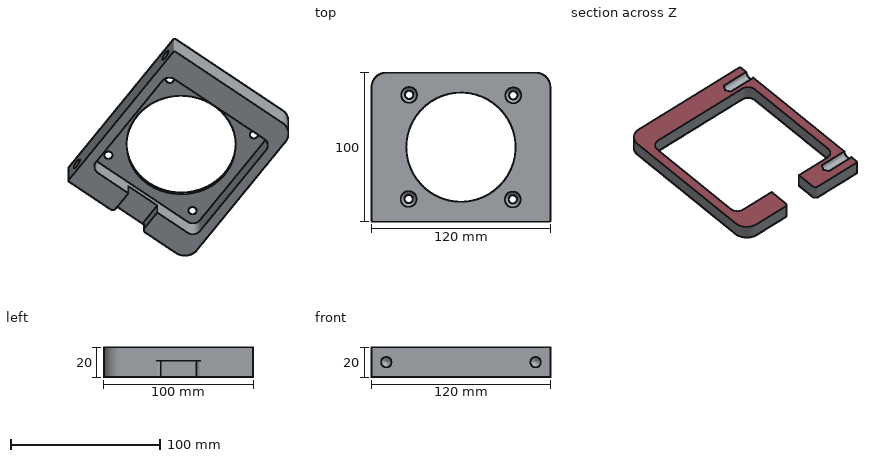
import cadquery as cq

length_x = 120.0
width_y = 100.0
height = 20.0
rear_corner_radius = 10.0
front_edge_radius = 1.0

plate_thickness = 3.0
pocket_side = 86.4
pocket_corner_radius = 6.0

opening_diameter = 73.0
screw_count = 4
screw_circle_diameter = 98.6
first_screw_angle = 44.75
screw_diameter = 5.4
countersink_diameter = 10.6
countersink_angle = 90.0

notch_width = 24.0
notch_height = 11.0
notch_edge_radius = 2.5

front_hole_pitch = 100.0
front_hole_diameter = 7.0
front_hole_depth = 20.0
drill_tip_length = 2.0


def make_body():
    """Block with large rear corners and slightly eased front corners."""
    block = cq.Workplane("XY").box(length_x, width_y, height, centered=(True, True, False))
    block = block.edges("|Z and >Y").fillet(rear_corner_radius)
    return block.edges("|Z and <Y").fillet(front_edge_radius)


def make_pocket():
    """Rounded square cavity, open at the bottom."""
    pocket_depth = height - plate_thickness
    pocket = cq.Workplane("XY").box(pocket_side, pocket_side, pocket_depth, centered=(True, True, False))
    return pocket.edges("|Z").fillet(pocket_corner_radius)


def make_notch():
    """Passage from the -X face into the pocket, with rounded edges at its mouth."""
    outer_x = -length_x / 2
    inner_x = -pocket_side / 2
    half_width = notch_width / 2
    half_mouth = half_width + notch_edge_radius
    shoulder_x = outer_x + notch_edge_radius
    arc_inset = notch_edge_radius * (1 - 0.5 ** 0.5)
    return (
        cq.Workplane("XY")
        .moveTo(outer_x, half_mouth)
        .threePointArc((outer_x + arc_inset, half_width + arc_inset), (shoulder_x, half_width))
        .lineTo(inner_x, half_width)
        .lineTo(inner_x, -half_width)
        .lineTo(shoulder_x, -half_width)
        .threePointArc((outer_x + arc_inset, -half_width - arc_inset), (outer_x, -half_mouth))
        .close()
        .extrude(notch_height)
    )


def cut_plate_holes(body):
    """Central opening and the ring of countersunk screw holes."""
    body = body.faces(">Z").workplane(origin=(0, 0, height)).hole(opening_diameter)
    return (
        body.faces(">Z")
        .workplane(origin=(0, 0, height))
        .polarArray(screw_circle_diameter / 2, first_screw_angle, 360, screw_count)
        .cskHole(screw_diameter, countersink_diameter, countersink_angle)
    )


def make_front_hole(x):
    """Drilled blind hole along Y with a conical end, as a revolved profile."""
    radius = front_hole_diameter / 2
    return (
        cq.Workplane("XY")
        .polyline([
            (0, 0),
            (radius, 0),
            (radius, front_hole_depth),
            (0, front_hole_depth + drill_tip_length),
        ])
        .close()
        .revolve(360, (0, 0, 0), (0, 1, 0))
        .translate((x, -width_y / 2, height / 2))
    )


result = make_body().cut(make_pocket()).cut(make_notch())
result = cut_plate_holes(result)
for side in (-1, 1):
    result = result.cut(make_front_hole(side * front_hole_pitch / 2))